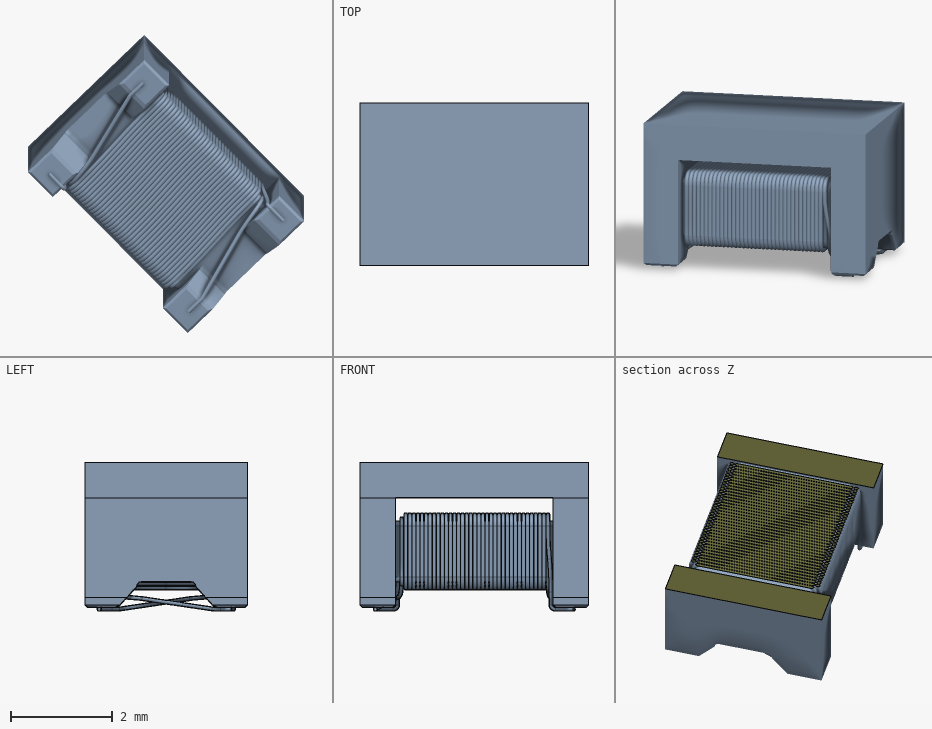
import cadquery as cq
import math

LENGTH = 4.5
WIDTH = 3.2
TOTAL_HEIGHT = 2.93
WIRE_DIAMETER = 0.075
TOP_Z = TOTAL_HEIGHT - WIRE_DIAMETER

LID_THICKNESS = 0.7
LID_BOTTOM_Z = TOP_Z - LID_THICKNESS

FLANGE_LENGTH = 0.7
FLANGE_INNER_X = LENGTH / 2 - FLANGE_LENGTH
BAR_WIDTH = 2.4
BAR_HEIGHT = 1.2
BAR_BOTTOM_Z = 0.5
BAR_RADIUS = 0.1

NOTCH_HALF_WIDTH = 0.585
NOTCH_HALF_WIDTH_AT_BASE = 0.95
NOTCH_RADIUS = 0.1

TERMINAL_HEIGHT = 0.2
TERMINAL_CHAMFER = 0.05

WIRE_RADIUS = WIRE_DIAMETER / 2
WIRE_GAP = 0.003375
PITCH = WIRE_DIAMETER + WIRE_GAP
INNER_OFFSET = PITCH / 2
OUTER_OFFSET = INNER_OFFSET + PITCH
INNER_TURNS = 37
OUTER_TURNS = 36
LAST_TURN_X = 1.45

WIRE_Z = -WIRE_RADIUS
WIRE_END_X = 1.945
LEAD_BEND_RADIUS = TERMINAL_CHAMFER + WIRE_RADIUS
LEAD_LEAN_BOTTOM_Z = 0.3
INNER_END_Y = 1.28
INNER_BEND_Y = 1.07
SLOPE_LOW = (1.945, 0.91, -0.03)
SLOPE_HIGH = (1.565, 0.465, 0.17)


def box(length, width, bottom_z, top_z, x=0.0, y=0.0):
    height = top_z - bottom_z
    return cq.Workplane("XY").box(length, width, height).translate((x, y, bottom_z + height / 2))


def line(start, end):
    return cq.Edge.makeLine(cq.Vector(*start), cq.Vector(*end))


def curve(start, end, start_direction, end_direction):
    """Smooth curve between two points, with the given directions at its ends."""
    tangents = [cq.Vector(*start_direction), cq.Vector(*end_direction)]
    return cq.Edge.makeSpline([cq.Vector(*start), cq.Vector(*end)], tangents=tangents)


def s_bend(start, end, direction):
    """Two equal arcs that leave the start and reach the end along the same direction."""
    tangent = cq.Vector(*direction)
    middle = (cq.Vector(*start) + cq.Vector(*end)) * 0.5
    first_arc = cq.Edge.makeTangentArc(cq.Vector(*start), tangent, middle)
    return [first_arc, cq.Edge.makeTangentArc(middle, first_arc.tangentAt(1), cq.Vector(*end))]


def make_lid():
    return box(LENGTH, WIDTH, LID_BOTTOM_Z, TOP_Z)


def notch_cutter():
    """Notch with rounded upper corners and flared sides, through both flanges."""
    top_half = NOTCH_HALF_WIDTH - NOTCH_RADIUS
    corner_z = BAR_BOTTOM_Z - NOTCH_RADIUS
    return (
        cq.Workplane("YZ", origin=(-LENGTH / 2, 0, 0))
        .moveTo(-NOTCH_HALF_WIDTH_AT_BASE, 0)
        .lineTo(-NOTCH_HALF_WIDTH, corner_z)
        .radiusArc((-top_half, BAR_BOTTOM_Z), NOTCH_RADIUS)
        .lineTo(top_half, BAR_BOTTOM_Z)
        .radiusArc((NOTCH_HALF_WIDTH, corner_z), NOTCH_RADIUS)
        .lineTo(NOTCH_HALF_WIDTH_AT_BASE, 0)
        .close()
        .extrude(LENGTH)
    )


def make_core():
    bar_top_z = BAR_BOTTOM_Z + BAR_HEIGHT
    core = box(2 * FLANGE_INNER_X, BAR_WIDTH, BAR_BOTTOM_Z, bar_top_z).edges("|X").fillet(BAR_RADIUS)
    flange_x = LENGTH / 2 - FLANGE_LENGTH / 2
    for side in (-1, 1):
        flange = box(FLANGE_LENGTH, WIDTH, TERMINAL_HEIGHT, LID_BOTTOM_Z, x=side * flange_x)
        core = core.union(flange.cut(notch_cutter()))
    return core


def make_terminal(x_side, y_side):
    foot_x = x_side * (LENGTH / 2 - FLANGE_LENGTH / 2)
    foot = box(FLANGE_LENGTH, WIDTH / 2, 0, TERMINAL_HEIGHT, x=foot_x, y=y_side * WIDTH / 4)
    return foot.cut(notch_cutter()).faces("<Z").chamfer(TERMINAL_CHAMFER)


LEG_BOTTOM_Z = BAR_BOTTOM_Z + BAR_RADIUS
LEG_TOP_Z = BAR_BOTTOM_Z + BAR_HEIGHT - BAR_RADIUS
CORNER_Y = BAR_WIDTH / 2 - BAR_RADIUS


def corner_arc(x, y_side, z_side, offset):
    """Quarter turn of the wire round one corner of the bar, from the leg to the run along Y."""
    radius = BAR_RADIUS + offset
    diagonal = radius * math.sqrt(0.5)
    center_z = LEG_TOP_Z if z_side > 0 else LEG_BOTTOM_Z
    return cq.Edge.makeThreePointArc(
        cq.Vector(x, y_side * (CORNER_Y + radius), center_z),
        cq.Vector(x, y_side * (CORNER_Y + diagonal), center_z + z_side * diagonal),
        cq.Vector(x, y_side * CORNER_Y, center_z + z_side * radius),
    )


def coil_edges(first_x, turns, offset):
    """Winding centreline from the top of the first back leg to the top of the last front leg.

    Each turn passes straight over the bar and moves on by one pitch underneath it.
    """
    leg_y = BAR_WIDTH / 2 + offset
    top_z = BAR_BOTTOM_Z + BAR_HEIGHT + offset
    bottom_z = BAR_BOTTOM_Z - offset
    edges = []
    for turn in range(turns):
        x = first_x + turn * PITCH
        edges.append(corner_arc(x, 1, 1, offset))
        edges.append(line((x, CORNER_Y, top_z), (x, -CORNER_Y, top_z)))
        edges.append(corner_arc(x, -1, 1, offset))
        if turn < turns - 1:
            next_x = x + PITCH
            edges.append(line((x, -leg_y, LEG_TOP_Z), (x, -leg_y, LEG_BOTTOM_Z)))
            edges.append(corner_arc(x, -1, -1, offset))
            edges += s_bend((x, -CORNER_Y, bottom_z), (next_x, CORNER_Y, bottom_z), (0, 1, 0))
            edges.append(corner_arc(next_x, 1, -1, offset))
            edges.append(line((next_x, leg_y, LEG_BOTTOM_Z), (next_x, leg_y, LEG_TOP_Z)))
    return edges


def outer_lead_edges(side, leg_x):
    """Lead along X under a terminal, round the flange's inner edge and up, leaning to its leg.

    side is -1 for the lead at the left end, on the back, and 1 for the right end, on the front.
    """
    y = -side * (BAR_WIDTH / 2 + OUTER_OFFSET)
    rise_x = side * (FLANGE_INNER_X - WIRE_RADIUS)
    bend_x = rise_x + side * LEAD_BEND_RADIUS
    bend_z = WIRE_Z + LEAD_BEND_RADIUS
    diagonal = LEAD_BEND_RADIUS * math.sqrt(0.5)
    bend = cq.Edge.makeThreePointArc(
        cq.Vector(bend_x, y, WIRE_Z),
        cq.Vector(bend_x - side * diagonal, y, bend_z - diagonal),
        cq.Vector(rise_x, y, bend_z),
    )
    lean_bottom = (rise_x, y, LEAD_LEAN_BOTTOM_Z)
    return [
        line((side * WIRE_END_X, y, WIRE_Z), (bend_x, y, WIRE_Z)),
        bend,
        line((rise_x, y, bend_z), lean_bottom),
        *s_bend(lean_bottom, (leg_x, y, LEG_TOP_Z), (0, 0, 1)),
    ]


def inner_lead_edges(side, leg_x):
    """Lead along Y under a terminal, then slanting up through the notch to the opposite leg."""
    leg_y = -side * (BAR_WIDTH / 2 + INNER_OFFSET)
    end_x = side * WIRE_END_X
    bend = (end_x, side * INNER_BEND_Y, WIRE_Z)
    leg_bottom = (leg_x, leg_y, LEG_BOTTOM_Z)
    slope_low = (side * SLOPE_LOW[0], side * SLOPE_LOW[1], SLOPE_LOW[2])
    slope_high = (side * SLOPE_HIGH[0], -side * SLOPE_HIGH[1], SLOPE_HIGH[2])
    slope = tuple(high - low for low, high in zip(slope_low, slope_high))
    return [
        line((end_x, side * INNER_END_Y, WIRE_Z), bend),
        curve(bend, slope_low, (0, -side, 0), slope),
        line(slope_low, slope_high),
        curve(slope_high, leg_bottom, slope, (0, 0, 1)),
        line(leg_bottom, (leg_x, leg_y, LEG_TOP_Z)),
    ]


def make_winding(turns, offset, lead_edges):
    """One wire: a lead at the left end, the coil, and a lead at the right end."""
    first_x = LAST_TURN_X - (turns - 1) * PITCH
    start = lead_edges(-1, first_x)
    finish = lead_edges(1, LAST_TURN_X)
    path = cq.Wire.assembleEdges(start + coil_edges(first_x, turns, offset) + finish[::-1])
    start_point = start[0].startPoint()
    profile_plane = cq.Plane(origin=start_point.toTuple(), normal=start[0].tangentAt(0).toTuple())
    return cq.Workplane(profile_plane).circle(WIRE_RADIUS).sweep(cq.Workplane(path))


lid = make_lid()
core = make_core()
terminals = [make_terminal(x_side, y_side) for x_side in (-1, 1) for y_side in (-1, 1)]
inner_winding = make_winding(INNER_TURNS, INNER_OFFSET, inner_lead_edges)
outer_winding = make_winding(OUTER_TURNS, OUTER_OFFSET, outer_lead_edges)

result = cq.Compound.makeCompound(
    [
        lid.val(),
        core.val(),
        *[terminal.val() for terminal in terminals],
        inner_winding.val(),
        outer_winding.val(),
    ]
)